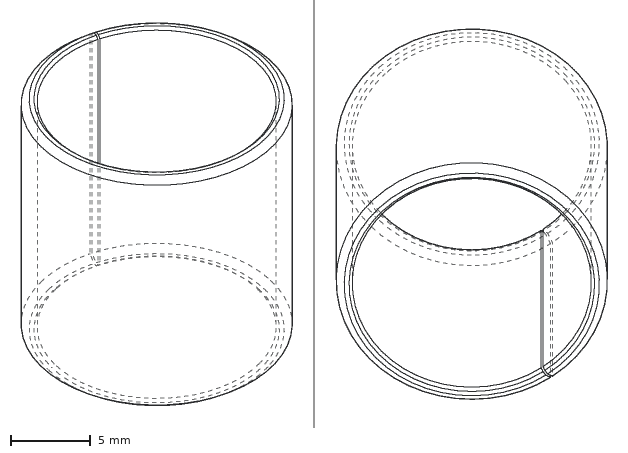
import cadquery as cq

length = 18.0
outer_diameter = 17.0
wall = 1.0
outer_chamfer_width = 0.5
outer_chamfer_height = 0.43
inner_chamfer = 0.2
seam_width = 0.15

outer_radius = outer_diameter / 2
bore_radius = outer_radius - wall
half_length = length / 2


def make_sleeve():
    """Revolve the wall section, chamfered at all four corners, around Z, starting at the seam."""
    profile = [
        (-bore_radius, -half_length + inner_chamfer),
        (-bore_radius - inner_chamfer, -half_length),
        (-outer_radius + outer_chamfer_width, -half_length),
        (-outer_radius, -half_length + outer_chamfer_height),
        (-outer_radius, half_length - outer_chamfer_height),
        (-outer_radius + outer_chamfer_width, half_length),
        (-bore_radius - inner_chamfer, half_length),
        (-bore_radius, half_length - inner_chamfer),
    ]
    return cq.Workplane("XZ").polyline(profile).close().revolve(360, (0, 0), (0, 1))


def make_seam():
    """Thin slab reaching from the axis out through the -X wall over the full length."""
    return cq.Workplane("XY").box(
        outer_radius, seam_width, length, centered=(False, False, True)
    ).translate((-outer_radius, 0, 0))


result = make_sleeve().cut(make_seam())